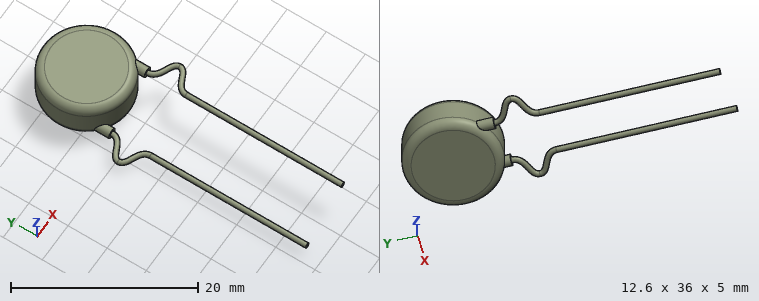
import cadquery as cq

disc_radius = 5.5
disc_height = 5.0
disc_edge_radius = 1.0

sleeve_diameter = 1.25
sleeve_end_y = -disc_radius

overall_length = 36.0
overall_width = 12.55
wire_radius = 0.32
wire_x = 3.45
wire_z = disc_height / 2 - disc_edge_radius
wire_end_y = disc_radius - overall_length

kink_length = 5.0
kink_reach = overall_width / 2 - wire_radius - wire_x
kink_peak_y = sleeve_end_y - kink_length / 2
kink_end_y = sleeve_end_y - kink_length

end_handle = 1.6
peak_handle = 1.1

lead_sides = [-1, 1]


def lead_point(side, outward, y):
    """Point in the plane of one lead, `outward` away from the line of its straight wire."""
    return cq.Vector(side * (wire_x + outward), y, side * wire_z)


def make_section(side, radius, y):
    """Round cross-section of one lead or its sleeve, facing -Y."""
    plane = cq.Plane(origin=lead_point(side, 0, y).toTuple(), xDir=(1, 0, 0), normal=(0, -1, 0))
    return cq.Workplane(plane).circle(radius)


def make_housing():
    """Disc with rounded rims and one sleeve for each lead."""
    housing = cq.Workplane("XY").circle(disc_radius).extrude(disc_height)
    housing = housing.translate((0, 0, -disc_height / 2))
    housing = housing.edges("%CIRCLE").fillet(disc_edge_radius)
    for side in lead_sides:
        sleeve = make_section(side, sleeve_diameter / 2, 0).extrude(-sleeve_end_y)
        housing = housing.union(sleeve)
    return housing


def make_lead_path(side):
    """Centre line of a lead: out to the peak of the kink, back again, then straight to the tip."""
    kink_out = cq.Edge.makeBezier([
        lead_point(side, 0, sleeve_end_y),
        lead_point(side, 0, sleeve_end_y - end_handle),
        lead_point(side, kink_reach, kink_peak_y + peak_handle),
        lead_point(side, kink_reach, kink_peak_y),
    ])
    kink_back = cq.Edge.makeBezier([
        lead_point(side, kink_reach, kink_peak_y),
        lead_point(side, kink_reach, kink_peak_y - peak_handle),
        lead_point(side, 0, kink_end_y + end_handle),
        lead_point(side, 0, kink_end_y),
    ])
    straight = cq.Edge.makeLine(lead_point(side, 0, kink_end_y), lead_point(side, 0, wire_end_y))
    return cq.Wire.assembleEdges([kink_out, kink_back, straight])


def make_lead(side):
    """Round wire that starts at the end face of its sleeve."""
    return make_section(side, wire_radius, sleeve_end_y).sweep(cq.Workplane(make_lead_path(side)))


housing = make_housing()
leads = [make_lead(side) for side in lead_sides]

result = cq.Compound.makeCompound([housing.val(), *[lead.val() for lead in leads]])